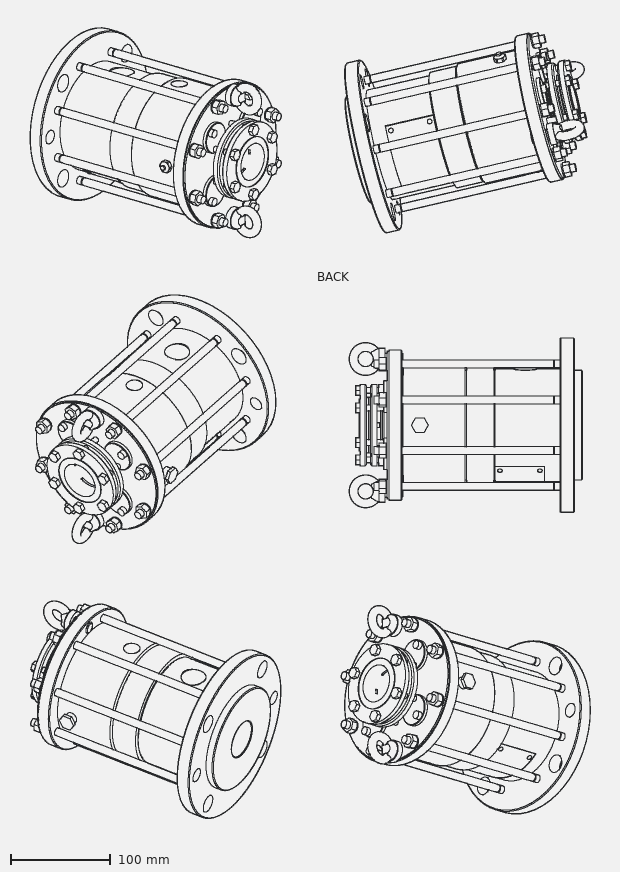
import cadquery as cq
import math

OVERALL_LENGTH = 233.35
BORE_D = 38.0

RAISED_FACE_D = 110.0
FLANGE_D = 174.75
FLANGE_START = 8.0
FLANGE_END = 22.6
EDGE_CHAMFER = 1.0
BORE_CHAMFER = 0.8
HOLE_CIRCLE_R = 72.5
MOUNTING_HOLE_D = 18.0
PIN_HOLE_D = 14.0

FRONT_BARREL_D = 112.8
RING_D = 119.0
REAR_BARREL_D = 123.0
FRONT_BARREL_END = 87.2
RING_START = 88.4
RING_END = 115.7
REAR_BARREL_START = 117.4
REAR_BARREL_END = 179.2
GROOVE_D = 110.0
NECK_D = 100.0

REAR_FLANGE_D = 150.6
REAR_FLANGE_START = 180.5
REAR_FLANGE_END = 195.2
REAR_STEP_START = 193.4
REAR_STEP_D = 148.0

PORT_FLATS = ((57.1, 25.0, FRONT_BARREL_D), (130.0, 16.5, REAR_BARREL_D))

PLATE_START = 37.8
PLATE_THICKNESS = 0.5
PLATE_TOP_Z = -41.5
RIVET_D = 4.75
RIVET_HEIGHT = 1.0
RIVET_ROUNDING = 0.9
RIVET_Z = -45.4
RIVET_EDGE_DISTANCE = 4.7

ROD_COUNT = 8
ROD_CIRCLE_R = 66.3
ROD_D = 8.0
ROD_END = 208.6
ROD_GROOVE_START = 28.1
ROD_GROOVE_WIDTH = 0.9
ROD_GROOVE_D = 7.6
WASHER_D = 13.0
NUT_START = 196.5
NUT_END = 203.2
NUT_CORNERS_D = 15.0
NUT_TWIST = -7.5

EYE_Z = 66.2
EYE_SECTION_D = 9.0
EYE_RING_R = 12.0
EYE_X = OVERALL_LENGTH - EYE_RING_R - EYE_SECTION_D / 2
EYE_SHANK_D = 12.0
EYE_SHANK_START = 179.3
EYE_SHANK_CHAMFER = 1.0
EYE_COLLAR_D = 22.0
EYE_COLLAR_START = 197.2
EYE_COLLAR_END = 203.4
EYE_NECK_D = 20.0
EYE_NECK_HEIGHT = 25.2
EYE_NECK_END = 210.8

FITTING_X = 162.6
PLUG_NECK_D = 12.0
PLUG_HEAD_CORNERS_D = 17.0
PLUG_HEAD_START = 67.8
PLUG_END = 71.3
NIPPLE_CORNERS_D = 13.3
NIPPLE_ROUND_D = 12.5
NIPPLE_HEX_END = 65.4
NIPPLE_CONE_D = 11.2
NIPPLE_CONE_END = 67.2
NIPPLE_TIP_D = 4.94
NIPPLE_END = 69.1

HUB_D = 48.0
HUB_END = 198.5
COLLAR_D = 46.0
THIN_RING_D = 54.0
THIN_RING_START = 199.9
THIN_RING_END = 201.4
LUG_RING_START = 202.1
WINDOW_START = 202.9
SIDE_WINDOW_WIDTH = 4.4
TOP_WINDOW_WIDTH = 22.5
CLAMP_D = 31.7
CLAMP_OFFSET = 28.7
CLAMP_END = 199.1
CLAMP_CHAMFER = 0.6
STUD_OFFSET = 36.8
STUD_D = 8.0
STUD_END = 203.7
PLATE_D = 81.81
PLATE_1_START = 205.2
PLATE_1_END = 211.9
PLATE_2_START = 215.8
PLATE_2_END = 222.3
PLATE_CHAMFER = 1.6
PACKING_D = 56.0
PACKING_GROOVE_D = 54.0
PACKING_GROOVE_WIDTH = 0.5
BOSS_D = 52.0
BOSS_END = 223.2
GLAND_BOLT_COUNT = 6
GLAND_BOLT_CIRCLE_R = 34.7
GLAND_BOLT_D = 6.0
GLAND_HEAD_CORNERS_D = 11.5
GLAND_HEAD_END = 226.9


def disc(diameter, start, end, y=0.0, z=0.0):
    """Cylinder along X from start to end."""
    return (
        cq.Workplane("YZ", origin=(start, y, z))
        .circle(diameter / 2)
        .extrude(end - start)
    )


def hexagon(corners_d, start, end, y=0.0, z=0.0, corner_angle=0.0):
    """Hexagonal prism along X with one corner at corner_angle from +Y."""
    prism = cq.Workplane("YZ").polygon(6, corners_d).extrude(end - start)
    prism = prism.rotate((0, 0, 0), (1, 0, 0), corner_angle)
    return prism.translate((start, y, z))


def polar(radius, angle):
    """Y and Z of a point on a circle about the axis."""
    turn = math.radians(angle)
    return radius * math.cos(turn), radius * math.sin(turn)


def make_mounting_flange():
    """Mounting flange with raised face, four bolt holes and two pin holes."""
    flange = disc(FLANGE_D, FLANGE_START, FLANGE_END).edges().chamfer(EDGE_CHAMFER)
    face = disc(RAISED_FACE_D, 0, FLANGE_START).faces("<X").edges().chamfer(EDGE_CHAMFER)
    flange = flange.union(face)
    for angle in (45, 135, 225, 315):
        y, z = polar(HOLE_CIRCLE_R, angle)
        flange = flange.cut(disc(MOUNTING_HOLE_D, FLANGE_START, FLANGE_END, y, z))
    for y in (-HOLE_CIRCLE_R, HOLE_CIRCLE_R):
        flange = flange.cut(disc(PIN_HOLE_D, FLANGE_START, FLANGE_END, y))
    return flange


def make_housing():
    """Stepped barrels and the recessed grooves between them."""
    housing = disc(NECK_D, FLANGE_END, REAR_FLANGE_START)
    housing = housing.union(disc(FRONT_BARREL_D, FLANGE_END, FRONT_BARREL_END))
    housing = housing.union(disc(GROOVE_D, FRONT_BARREL_END, REAR_BARREL_START))
    housing = housing.union(disc(RING_D, RING_START, RING_END))
    housing = housing.union(disc(REAR_BARREL_D, REAR_BARREL_START, REAR_BARREL_END))
    for x, diameter, barrel_d in PORT_FLATS:
        flat_z = math.sqrt((barrel_d / 2) ** 2 - (diameter / 2) ** 2)
        cutter = cq.Workplane("XY", origin=(x, 0, flat_z)).circle(diameter / 2)
        housing = housing.cut(cutter.extrude(barrel_d))
    return housing


def make_rear_flange():
    """Rear flange with a slightly smaller step on its rear face."""
    flange = disc(REAR_FLANGE_D, REAR_FLANGE_START, REAR_STEP_START)
    flange = flange.faces("<X").edges().chamfer(EDGE_CHAMFER)
    return flange.union(disc(REAR_STEP_D, REAR_STEP_START, REAR_FLANGE_END))


def make_nameplate():
    """Curved plate under the front barrel, with a rivet near each corner."""
    outer_r = FRONT_BARREL_D / 2 + PLATE_THICKNESS
    length = FRONT_BARREL_END - PLATE_START
    below = (
        cq.Workplane("XY", origin=(PLATE_START, 0, PLATE_TOP_Z))
        .rect(length, 2 * outer_r)
        .extrude(-outer_r)
        .translate((length / 2, 0, 0))
    )
    shell = disc(2 * outer_r, PLATE_START, FRONT_BARREL_END)
    shell = shell.cut(disc(GROOVE_D, PLATE_START, FRONT_BARREL_END))
    plate = shell.intersect(below)
    rivet_tilt = math.degrees(math.asin(-RIVET_Z / outer_r))
    for x in (PLATE_START + RIVET_EDGE_DISTANCE, FRONT_BARREL_END - RIVET_EDGE_DISTANCE):
        for tilt in (-rivet_tilt, rivet_tilt - 180):
            rivet = (
                cq.Workplane("XZ", origin=(0, outer_r + RIVET_HEIGHT, 0))
                .circle(RIVET_D / 2)
                .extrude(2 * RIVET_HEIGHT)
                .faces(">Y")
                .edges()
                .fillet(RIVET_ROUNDING)
                .rotate((0, 0, 0), (1, 0, 0), tilt)
            )
            plate = plate.union(rivet.translate((x, 0, 0)))
    return plate


def make_tie_rod(angle):
    """Tie rod with its washer and nut behind the rear flange."""
    y, z = polar(ROD_CIRCLE_R, angle)
    groove_end = ROD_GROOVE_START + ROD_GROOVE_WIDTH
    rod = disc(ROD_GROOVE_D, FLANGE_END, ROD_END, y, z)
    rod = rod.union(disc(ROD_D, FLANGE_END, ROD_GROOVE_START, y, z))
    rod = rod.union(disc(ROD_D, groove_end, ROD_END, y, z))
    rod = rod.union(disc(WASHER_D, REAR_FLANGE_END, NUT_START, y, z))
    return rod.union(hexagon(NUT_CORNERS_D, NUT_START, NUT_END, y, z, angle + NUT_TWIST))


def make_eyebolt(z):
    """Lifting eyebolt along X, with its ring in the XZ plane."""
    shank = disc(EYE_SHANK_D, EYE_SHANK_START, EYE_COLLAR_START, 0, z)
    shank = shank.faces("<X").edges().chamfer(EYE_SHANK_CHAMFER)
    collar = disc(EYE_COLLAR_D, EYE_COLLAR_START, EYE_COLLAR_END, 0, z)
    neck = (
        cq.Workplane("YZ", origin=(EYE_COLLAR_END, 0, z))
        .circle(EYE_NECK_D / 2)
        .workplane(offset=EYE_NECK_END - EYE_COLLAR_END)
        .ellipse(EYE_SECTION_D / 2, EYE_NECK_HEIGHT / 2)
        .loft()
    )
    opening_r = EYE_RING_R - EYE_SECTION_D / 2
    opening = cq.Workplane("XZ", origin=(EYE_X, 0, z)).circle(opening_r)
    neck = neck.cut(opening.extrude(EYE_NECK_D, both=True))
    eye = (
        cq.Workplane("XY", origin=(EYE_X, 0, z))
        .center(-EYE_RING_R, 0)
        .circle(EYE_SECTION_D / 2)
        .revolve(360, (EYE_RING_R, 0, 0), (EYE_RING_R, 1, 0))
    )
    return shank.union(collar).union(neck).union(eye)


def make_plug():
    """Hex-head plug on the +Y side."""
    barrel_r = NECK_D / 2
    neck = cq.Workplane("XZ", origin=(FITTING_X, barrel_r, 0)).circle(PLUG_NECK_D / 2)
    head = cq.Workplane("XZ", origin=(FITTING_X, PLUG_HEAD_START, 0))
    head = head.polygon(6, PLUG_HEAD_CORNERS_D).extrude(PLUG_HEAD_START - PLUG_END)
    return neck.extrude(barrel_r - PLUG_END).union(head)


def make_nipple():
    """Grease nipple on the -Y side."""
    start = NECK_D / 2
    base = cq.Workplane("XZ", origin=(FITTING_X, -start, 0))
    nipple = base.polygon(6, NIPPLE_CORNERS_D).extrude(NIPPLE_HEX_END - start)
    nipple = nipple.intersect(base.circle(NIPPLE_ROUND_D / 2).extrude(NIPPLE_HEX_END - start))
    cone = (
        cq.Workplane("XZ", origin=(FITTING_X, -NIPPLE_HEX_END, 0))
        .circle(NIPPLE_CONE_D / 2)
        .workplane(offset=NIPPLE_CONE_END - NIPPLE_HEX_END)
        .circle(NIPPLE_TIP_D / 2)
        .loft()
    )
    tip = base.circle(NIPPLE_TIP_D / 2).extrude(NIPPLE_END - start)
    return nipple.union(cone).union(tip)


def make_gland():
    """Hub, windowed lug ring, gland plates and the packing between them."""
    gland = disc(HUB_D, REAR_FLANGE_END, HUB_END)
    gland = gland.union(disc(COLLAR_D, HUB_END, PLATE_1_START))
    gland = gland.union(disc(THIN_RING_D, THIN_RING_START, THIN_RING_END))
    gland = gland.union(disc(HUB_D, LUG_RING_START, PLATE_1_START))

    window_length = PLATE_1_START - WINDOW_START
    window_x = (WINDOW_START + PLATE_1_START) / 2
    side_window = cq.Workplane("XY").box(window_length, HUB_D, SIDE_WINDOW_WIDTH)
    top_window = cq.Workplane("XY").box(window_length, TOP_WINDOW_WIDTH, HUB_D)
    gland = gland.cut(side_window.union(top_window).translate((window_x, 0, 0)))

    plate_1 = disc(PLATE_D, PLATE_1_START, PLATE_1_END)
    plate_1 = plate_1.faces(">X").edges().chamfer(PLATE_CHAMFER)
    plate_2 = disc(PLATE_D, PLATE_2_START, PLATE_2_END)
    plate_2 = plate_2.faces("<X").edges().chamfer(PLATE_CHAMFER)
    gland = gland.union(plate_1).union(plate_2)
    gland = gland.union(disc(BOSS_D, PLATE_2_END, BOSS_END))

    packing = disc(PACKING_D, PLATE_1_END, PLATE_2_START)
    joint_x = (PLATE_1_END + PLATE_2_START) / 2
    joint_start = joint_x - PACKING_GROOVE_WIDTH / 2
    joint_end = joint_x + PACKING_GROOVE_WIDTH / 2
    joint = disc(PACKING_D, joint_start, joint_end)
    packing = packing.cut(joint.cut(disc(PACKING_GROOVE_D, joint_start, joint_end)))
    return gland.union(packing)


def make_gland_fasteners():
    """Through bolts of the gland plates, clamp discs and their studs."""
    fasteners = cq.Workplane("YZ")
    for index in range(GLAND_BOLT_COUNT):
        angle = 90 + index * 360 / GLAND_BOLT_COUNT
        y, z = polar(GLAND_BOLT_CIRCLE_R, angle)
        fasteners = fasteners.union(disc(GLAND_BOLT_D, REAR_FLANGE_END, PLATE_2_END, y, z))
        head = hexagon(GLAND_HEAD_CORNERS_D, PLATE_2_END, GLAND_HEAD_END, y, z)
        fasteners = fasteners.union(head)
    for side_y in (-1, 1):
        for side_z in (-1, 1):
            clamp_y = side_y * CLAMP_OFFSET
            clamp_z = side_z * CLAMP_OFFSET
            stud_y = side_y * STUD_OFFSET
            stud_z = side_z * STUD_OFFSET
            clamp = disc(CLAMP_D, REAR_FLANGE_END, CLAMP_END, clamp_y, clamp_z)
            fasteners = fasteners.union(clamp.faces(">X").edges().chamfer(CLAMP_CHAMFER))
            fasteners = fasteners.union(disc(STUD_D, CLAMP_END, STUD_END, stud_y, stud_z))
    return fasteners


def make_bore():
    """Through bore with a chamfered mouth."""
    mouth = (
        cq.Workplane("YZ")
        .circle(BORE_D / 2 + BORE_CHAMFER)
        .workplane(offset=BORE_CHAMFER)
        .circle(BORE_D / 2)
        .loft()
    )
    return disc(BORE_D, 0, OVERALL_LENGTH).union(mouth)


assembly = make_mounting_flange().union(make_housing()).union(make_rear_flange())
assembly = assembly.union(make_nameplate())
for rod_index in range(ROD_COUNT):
    rod_angle = (rod_index + 0.5) * 360 / ROD_COUNT
    assembly = assembly.union(make_tie_rod(rod_angle))
for eye_z in (-EYE_Z, EYE_Z):
    assembly = assembly.union(make_eyebolt(eye_z))
assembly = assembly.union(make_plug()).union(make_nipple())
assembly = assembly.union(make_gland()).union(make_gland_fasteners())
result = assembly.cut(make_bore())